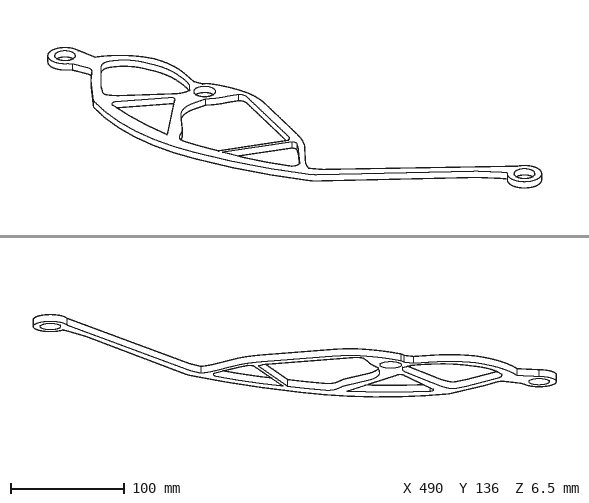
import cadquery as cq

length = 490.0
thickness = 6.5
eye_radius = 15.0
hole_diameter = 18.0
middle_hole_diameter = 19.0
middle_hole_x = 139.5
right_eye_x = length - 2 * eye_radius


def profile(start, *steps):
    """Extrude a closed outline: one point in a step is a line end, two are an arc's middle and end."""
    outline = cq.Workplane("XY").moveTo(*start)
    for step in steps:
        if len(step) == 1:
            outline = outline.lineTo(*step[0])
        else:
            outline = outline.threePointArc(*step)
    return outline.close().extrude(thickness)


def disc(x, radius):
    return cq.Workplane("XY").center(x, 0).circle(radius).extrude(thickness)


body = profile(
    (5.5, 14.0),
    [(24.5, 10.5)],
    [(44.0, 24.5), (71.5, 32.5)],
    [(90.0, 29.5), (107.5, 21.5)],
    [(122.5, 12.0)],
    [(131.5, 12.0)],
    [(135.0, 14.5)],
    [(157.5, 17.0), (175.0, 15.5)],
    [(185.0, 12.2), (194.5, 7.5)],
    [(249.0, -31.0)],
    [(257.5, -38.0), (264.5, -46.0)],
    [(278.5, -70.0)],
    [(282.0, -76.0), (287.5, -81.5)],
    [(299.5, -77.5)],
    [(449.5, 10.5)],
    [(right_eye_x, 0)],
    [(447.5, -5.5)],
    [(439.5, -8.0)],
    [(420.5, -16.0)],
    [(301.5, -87.5)],
    [(298.0, -89.5), (294.0, -91.0)],
    [(241.0, -100.5), (186.0, -103.5)],
    [(120.0, -93.0), (61.5, -61.5)],
    [(59.5, -58.0)],
    [(40.5, -27.5)],
    [(34.5, -13.5)],
    [(32.0, -11.5), (27.5, -10.5)],
    [(13.0, -10.5)],
    [(4.5, -14.0)],
    [(0, 0)],
)

arch_window = profile(
    (37.5, -3.0),
    [(36.7, 4.0), (39.5, 10.0)],
    [(54.5, 19.5), (71.5, 22.0)],
    [(89.5, 21.0), (107.5, 14.0)],
    [(115.0, 10.0), (122.0, 4.5)],
    [(127.0, -4.0)],
    [(124.0, -11.0), (119.0, -15.5)],
    [(79.0, -41.0)],
    [(73.5, -44.0), (67.0, -46.0)],
    [(64.0, -46.0), (61.0, -43.5)],
    [(55.0, -35.0)],
)

triangle_window = profile(
    (117.5, -25.0),
    [(121.5, -23.5), (124.0, -27.0)],
    [(148.5, -85.5)],
    [(113.0, -75.0), (80.0, -60.5)],
    [(78.5, -56.5), (81.0, -53.0)],
)

main_window = profile(
    (168.5, 9.5),
    [(172.5, 10.5), (176.5, 9.5)],
    [(245.5, -39.0)],
    [(247.5, -44.0)],
    [(202.5, -90.5)],
    [(185.5, -90.5), (169.0, -89.5)],
    [(162.0, -87.0), (159.0, -83.0)],
    [(157.0, -73.0)],
    [(154.5, -68.5)],
    [(142.5, -49.5)],
    [(138.5, -36.0), (141.5, -23.0)],
    [(147.0, -12.0)],
    [(155.0, -6.0), (161.5, 2.0)],
)

end_window = profile(
    (251.5, -45.5),
    [(254.5, -45.0), (256.5, -46.0)],
    [(262.0, -53.5)],
    [(275.0, -74.5)],
    [(276.0, -81.5), (272.0, -85.2)],
    [(239.5, -90.0), (206.8, -91.0)],
)

result = body
for eye_x in (0, right_eye_x):
    result = result.union(disc(eye_x, eye_radius))
for window in (arch_window, triangle_window, main_window, end_window):
    result = result.cut(window)
for hole_x, diameter in (
    (0, hole_diameter),
    (middle_hole_x, middle_hole_diameter),
    (right_eye_x, hole_diameter),
):
    result = result.cut(disc(hole_x, diameter / 2))